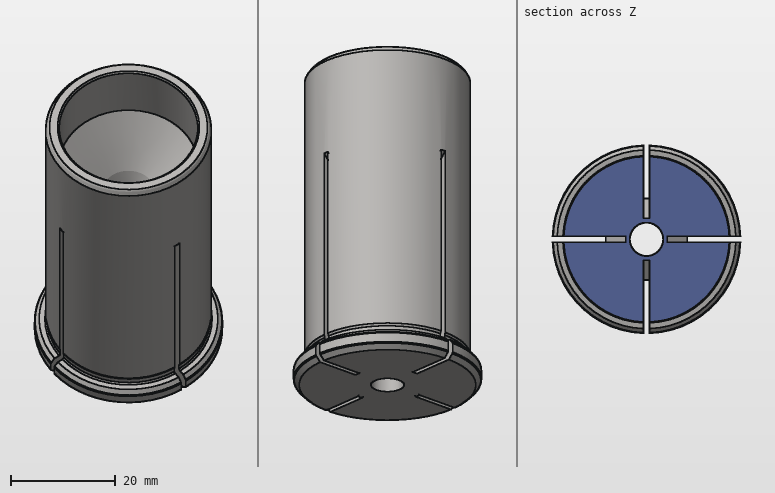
import cadquery as cq
import math

height = 64.0
body_radius = 15.9

rim_taper_start = 63.0
rim_taper_end = 63.7
rim_taper_radius = 15.4
rim_radius = 15.1

collar_radius = 18.0
collar_height = 4.1
collar_bottom_bevel = 1.1
collar_top_bevel = 0.9
edge_break = 0.1

groove_radius = 15.7
groove_top = 6.0
groove_taper = 0.5
groove_foot = 0.3

socket_radius = 13.25
socket_mouth_radius = 13.6
socket_floor = 52.15
funnel_radius = 5.0
funnel_bottom = 43.9
throat_radius = 3.17
throat_top = 40.8

slot_width = 1.1
slot_top = 43.85
slot_sill = 2.7
sill_angle = 30
slot_count = 4
slot_overrun = 0.65


def revolve(points):
    """Turn a closed (radius, z) outline about the Z axis."""
    return cq.Workplane("XZ").polyline(points).close().revolve(360, (0, 0), (0, 1))


def make_body():
    broken_radius = collar_radius - edge_break
    return revolve([
        (0, 0),
        (collar_radius - collar_bottom_bevel, 0),
        (broken_radius, collar_bottom_bevel - edge_break),
        (collar_radius, collar_bottom_bevel + edge_break),
        (collar_radius, collar_height - collar_top_bevel - edge_break),
        (broken_radius, collar_height - collar_top_bevel + edge_break),
        (collar_radius - collar_top_bevel, collar_height),
        (groove_radius + groove_foot, collar_height),
        (groove_radius, collar_height + groove_foot),
        (groove_radius, groove_top - groove_taper),
        (body_radius, groove_top),
        (body_radius, rim_taper_start),
        (rim_taper_radius, rim_taper_end),
        (rim_radius, height),
        (0, height),
    ])


def make_socket():
    mouth_step = socket_mouth_radius - socket_radius
    return revolve([
        (0, throat_top),
        (throat_radius, throat_top),
        (funnel_radius, funnel_bottom),
        (socket_radius, socket_floor),
        (socket_radius, height - mouth_step),
        (socket_mouth_radius, height),
        (0, height),
    ])


def make_slot(index):
    reach = collar_radius + slot_overrun
    sill_run = slot_sill / math.tan(math.radians(sill_angle))
    profile = [
        (0, slot_top - body_radius),
        (body_radius, slot_top),
        (reach, slot_top),
        (reach, 0),
        (throat_radius + sill_run, 0),
        (throat_radius, slot_sill),
        (0, slot_sill),
    ]
    blade = cq.Workplane("XZ").polyline(profile).close().extrude(slot_width / 2, both=True)
    return blade.rotate((0, 0, 0), (0, 0, 1), index * 360 / slot_count)


def make_throat():
    return cq.Workplane("XY").circle(throat_radius).extrude(height)


result = make_body().cut(make_socket()).cut(make_throat())
for index in range(slot_count):
    result = result.cut(make_slot(index))